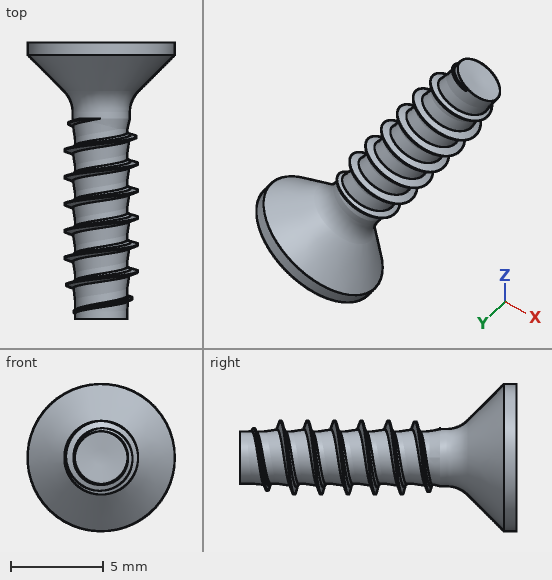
import cadquery as cq
import math

length = 15.0
head_radius = 4.0
head_rim_height = 0.68
neck_half_angle = math.radians(45)
neck_fillet_radius = 1.6
shank_radius = 1.56
shank_end_depth = 4.14
core_radius = 1.425
core_start_depth = 4.72

cone_end_radius = shank_radius + neck_fillet_radius * (1 - math.cos(neck_half_angle))
cone_end_depth = head_rim_height + (head_radius - cone_end_radius) / math.tan(neck_half_angle)
neck_end_depth = cone_end_depth + neck_fillet_radius * math.sin(neck_half_angle)

dimple_radius = 1.3
dimple_depth = 0.1

pitch = 1.46
turn_zero_depth = 4.03
crest_radius = 2.0
crest_half_width = 0.025
knee_radius = 1.6
knee_offset = -0.12
head_flank_offset = -0.28
tip_flank_radius = 1.53
tip_flank_offset = 0.19
taper_end_offset = 0.88
sunk_radius = 1.39
narrowest_tooth = 0.4
buried_radius = 1.2

thread_start_turn = -1
run_in_start_turn = -0.15
run_in_end_turn = 1.15
run_out_start_turn = 6.0
run_out_end_turn = 7.5
thread_end_turn = 8
steps_per_turn = 24


def make_body():
    """Revolve the head, neck fillet, shank and core."""
    fillet_middle = (
        shank_radius + neck_fillet_radius * (1 - math.cos(neck_half_angle / 2)),
        -neck_end_depth + neck_fillet_radius * math.sin(neck_half_angle / 2),
    )
    profile = (
        cq.Workplane("XY")
        .lineTo(head_radius, 0)
        .lineTo(head_radius, -head_rim_height)
        .lineTo(cone_end_radius, -cone_end_depth)
        .threePointArc(fillet_middle, (shank_radius, -neck_end_depth))
        .lineTo(shank_radius, -shank_end_depth)
        .lineTo(core_radius, -core_start_depth)
        .lineTo(core_radius, -length)
        .lineTo(0, -length)
        .close()
    )
    return profile.revolve(360, (0, 0, 0), (0, 1, 0)).val()


def ramp(turn, zero_turn, full_turn):
    """Rise linearly from 0 at zero_turn to 1 at full_turn, constant outside."""
    return max(0.0, min(1.0, (turn - zero_turn) / (full_turn - zero_turn)))


def blend(start, end, share):
    return start + (end - start) * share


def thread_corners(turn):
    """Corners (radius, offset) of the thread profile at a given turn."""
    growth = math.sqrt(ramp(turn, run_in_start_turn, run_in_end_turn))
    remaining = ramp(turn, run_out_end_turn, run_out_start_turn)

    def tooth_radius(full_radius):
        grown = blend(tip_flank_radius, full_radius, growth)
        return blend(sunk_radius, grown, remaining)

    taper_slope = (taper_end_offset - tip_flank_offset) / (tip_flank_radius - core_radius)
    sunk_taper_offset = taper_end_offset + taper_slope * (core_radius - sunk_radius)
    tooth_width = blend(narrowest_tooth, 1.0, min(growth, remaining))
    return [
        (buried_radius, head_flank_offset),
        (sunk_radius, head_flank_offset * tooth_width),
        (tooth_radius(knee_radius), knee_offset * tooth_width),
        (tooth_radius(crest_radius), -crest_half_width),
        (tooth_radius(crest_radius), crest_half_width),
        (tooth_radius(tip_flank_radius), tip_flank_offset * tooth_width),
        (sunk_radius, sunk_taper_offset),
        (buried_radius, sunk_taper_offset),
    ]


def helix_point(turn, radius, offset):
    angle = 2 * math.pi * turn
    depth = turn_zero_depth + pitch * turn + offset
    return cq.Vector(-radius * math.sin(angle), -depth, radius * math.cos(angle))


def make_thread_turn(first_turn):
    """One turn of thread bounded by ruled strips between its helical corner edges and two end caps."""
    turns = [first_turn + step / steps_per_turn for step in range(steps_per_turn + 1)]
    sections = []
    for turn in turns:
        sections.append([helix_point(turn, radius, offset) for radius, offset in thread_corners(turn)])
    edges = [cq.Edge.makeSpline(list(path)) for path in zip(*sections)]

    faces = []
    for index, edge in enumerate(edges):
        faces.append(cq.Face.makeRuledSurface(edges[index - 1], edge))
    for section in (sections[0], sections[-1]):
        faces.append(cq.Face.makeFromWires(cq.Wire.makePolygon(section, close=True)))
    return cq.Solid.makeSolid(cq.Shell.makeShell(faces))


def make_tip_cutter():
    """Everything beyond the tip plane, together with the cone of the dimple."""
    cutter_end_depth = length + 2 * pitch
    profile = (
        cq.Workplane("XY")
        .moveTo(0, dimple_depth - length)
        .lineTo(dimple_radius, -length)
        .lineTo(head_radius, -length)
        .lineTo(head_radius, -cutter_end_depth)
        .lineTo(0, -cutter_end_depth)
        .close()
    )
    return profile.revolve(360, (0, 0, 0), (0, 1, 0)).val()


def make_screw():
    """Join the thread, cut off square where the shank ends, to the body and finish the tip."""
    shank_zone = cq.Solid.makeCylinder(
        head_radius, shank_end_depth, cq.Vector(0, 0, 0), cq.Vector(0, -1, 0)
    )
    thread_turns = [make_thread_turn(turn) for turn in range(thread_start_turn, thread_end_turn)]
    trimmed_turns = [thread_turn.cut(shank_zone) for thread_turn in thread_turns]
    return make_body().fuse(*trimmed_turns).cut(make_tip_cutter()).Solids()[0]


result = cq.Workplane(make_screw())